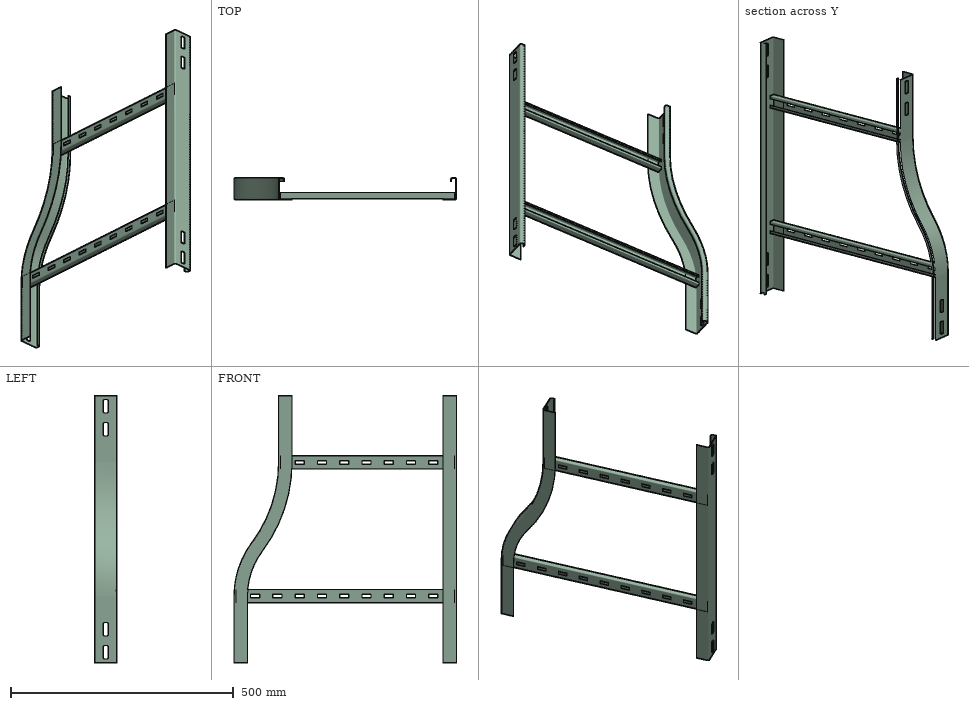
import cadquery as cq
import math

length = 600.0
lower_width = 500.0
depth = 50.0
right_face = lower_width / 2
left_face = -right_face
front_face = -depth / 2
rear_face = depth / 2
top_end = length / 2
bottom_end = -top_end

rail_wall = 2.0
rail_bend_inside = 2.0
rail_bend_outside = rail_bend_inside + rail_wall
flange_width = 30.5
lip_width = 13.0
hook_depth = 9.0

straight_end = 150.0
lower_bend_radius = 200.0
upper_bend_radius = 300.0
lower_bend_start = bottom_end + straight_end
upper_bend_end = top_end - straight_end
bend_radius_sum = lower_bend_radius + upper_bend_radius
bend_angle = math.asin((upper_bend_end - lower_bend_start) / bend_radius_sum)
upper_left_face = left_face + bend_radius_sum * (1 - math.cos(bend_angle))

rail_slot_length = 30.0
rail_slot_width = 11.0
rail_slot_corner = 3.0
rail_slot_insets = (24.0, 75.5)

rung_wall = 1.5
rung_bend_inside = 0.5
rung_bend_outside = rung_bend_inside + rung_wall
rung_height = 30.0
rung_depth = 15.0
rung_lip = 7.0
rung_level = 150.0
rung_front = front_face + rail_wall
rung_end_gap = 0.5
rung_end_inset = rail_bend_outside + rung_end_gap

rung_slot_length = 20.0
rung_slot_width = 7.0
rung_slot_pitch = length / 12
rung_slot_inset = 52.0
lower_slot_count = 9
upper_slot_count = 7


def lower_arc_point(angle):
    """X and Z on the lower arc of the S-bend where the web leans by the angle."""
    x = left_face + lower_bend_radius * (1 - math.cos(angle))
    z = lower_bend_start + lower_bend_radius * math.sin(angle)
    return x, z


def upper_arc_point(angle):
    """X and Z on the upper arc of the S-bend where the web leans by the angle."""
    x = upper_left_face - upper_bend_radius * (1 - math.cos(angle))
    z = upper_bend_end - upper_bend_radius * math.sin(angle)
    return x, z


def round_corners(wire, corners, radius):
    """Round the corners of a planar wire that lie at the given points."""
    for corner in corners:
        vertex = min(wire.Vertices(), key=lambda v: (v.Center() - corner).Length)
        wire = wire.fillet2D(radius, [vertex])
    return wire


def rail_section():
    """Sheet section of the left rail at its bottom end, with every bend rounded."""

    def at(x, y):
        return cq.Vector(x, y, bottom_end)

    flange_tip = left_face + flange_width
    lip_tip = left_face + lip_width
    lip_inside = lip_tip - rail_wall
    web_inside = left_face + rail_wall
    hook_end = rear_face - hook_depth
    outer_bends = [at(left_face, front_face), at(left_face, rear_face), at(lip_tip, rear_face)]
    inner_bends = [
        at(lip_inside, rear_face - rail_wall),
        at(web_inside, rear_face - rail_wall),
        at(web_inside, front_face + rail_wall),
    ]
    outline = [
        at(flange_tip, front_face),
        *outer_bends,
        at(lip_tip, hook_end),
        at(lip_inside, hook_end),
        *inner_bends,
        at(flange_tip, front_face + rail_wall),
    ]
    section = cq.Wire.makePolygon(outline, close=True)
    section = round_corners(section, outer_bends, rail_bend_outside)
    section = round_corners(section, inner_bends, rail_bend_inside)
    return cq.Workplane("XY").add(section).toPending()


def splice_slots(lower_web_x, upper_web_x):
    """Cutters for the slots through a rail web, at its lower and upper ends."""
    cutters = cq.Workplane("YZ")
    for web_x, end, inward in ((lower_web_x, bottom_end, 1), (upper_web_x, top_end, -1)):
        centres = [(0, end + inward * inset) for inset in rail_slot_insets]
        pair = (
            cq.Workplane("YZ", origin=(web_x, 0, 0))
            .pushPoints(centres)
            .rect(rail_slot_width, rail_slot_length)
            .extrude(2 * rail_wall, both=True)
            .edges("|X")
            .fillet(rail_slot_corner)
        )
        cutters = cutters.add(pair)
    return cutters.combine()


def make_right_rail():
    """Straight rail, its section the mirror image of the left one."""
    rail = rail_section().extrude(length).mirror("YZ")
    return rail.cut(splice_slots(right_face, right_face))


def make_left_rail():
    """Rail swept along two tangent arcs between straight ends."""
    path = (
        cq.Workplane("XZ")
        .moveTo(left_face, bottom_end)
        .lineTo(left_face, lower_bend_start)
        .threePointArc(lower_arc_point(bend_angle / 2), lower_arc_point(bend_angle))
        .threePointArc(upper_arc_point(bend_angle / 2), (upper_left_face, upper_bend_end))
        .lineTo(upper_left_face, top_end)
    )
    rail = rail_section().sweep(path)
    return rail.cut(splice_slots(left_face, upper_left_face))


def make_rung(left_web_x, level, slot_count):
    """Slotted channel spanning from the left web to the right rail at the given height."""
    left_end = left_web_x + rung_end_inset
    right_end = right_face - rung_end_inset
    rung_length = right_end - left_end
    middle = cq.Workplane("XY", origin=((left_end + right_end) / 2, rung_front + rung_depth / 2, level))

    channel = middle.box(rung_length, rung_depth, rung_height).edges("|X").fillet(rung_bend_outside)
    cavity = (
        middle.box(rung_length, rung_depth - 2 * rung_wall, rung_height - 2 * rung_wall)
        .edges("|X")
        .fillet(rung_bend_inside)
    )
    rear_opening = middle.center(0, rung_depth / 2).box(rung_length, rung_depth, rung_height - 2 * rung_lip)

    last_slot = right_face - rung_slot_inset
    slots = (
        cq.Workplane("XZ", origin=(0, rung_front, level))
        .pushPoints([(last_slot - i * rung_slot_pitch, 0) for i in range(slot_count)])
        .rect(rung_slot_length, rung_slot_width)
        .extrude(2 * rung_wall, both=True)
    )
    return channel.cut(cavity).cut(rear_opening).cut(slots)


left_rail = make_left_rail()
right_rail = make_right_rail()
rungs = [
    make_rung(web_x, level, slot_count)
    for web_x, level, slot_count in (
        (left_face, -rung_level, lower_slot_count),
        (upper_left_face, rung_level, upper_slot_count),
    )
]

result = cq.Compound.makeCompound([left_rail.val(), right_rail.val(), *[rung.val() for rung in rungs]])